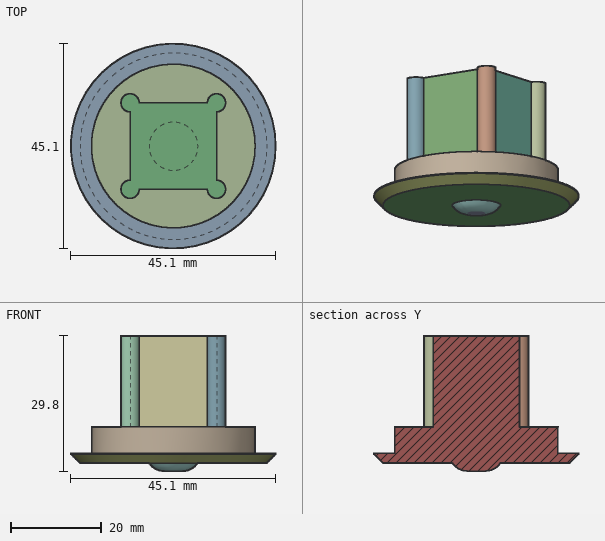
import cadquery as cq
import math

flange_diameter = 45.06
rim_height = 0.2
bevel = 2.0
flange_height = rim_height + bevel

base_diameter = 36.0
base_height = 5.8

post_side = 19.0
post_height = 20.0
pin_diameter = 4.0

overall_height = 29.79
button_height = overall_height - post_height - base_height - flange_height
button_flat_radius = 2.0
button_edge_radius = 4.0


def button_radius_at(rise):
    """Radius of the button at a given rise above its flat bottom."""
    return button_flat_radius + math.sqrt(button_edge_radius**2 - (button_edge_radius - rise) ** 2)


def make_flange():
    disc = cq.Workplane("XY").circle(flange_diameter / 2).extrude(-flange_height)
    return disc.faces("<Z").chamfer(bevel)


def make_base():
    return cq.Workplane("XY").circle(base_diameter / 2).extrude(base_height)


def make_post():
    foot = cq.Workplane("XY").workplane(offset=base_height)
    block = foot.rect(post_side, post_side).extrude(post_height)
    pins = (
        foot.rect(post_side, post_side, forConstruction=True)
        .vertices()
        .circle(pin_diameter / 2)
        .extrude(post_height)
    )
    return block.union(pins)


def make_button():
    top = -flange_height
    bottom = top - button_height
    half_height = button_height / 2
    return (
        cq.Workplane("XZ")
        .moveTo(0, top)
        .lineTo(button_radius_at(button_height), top)
        .threePointArc(
            (button_radius_at(half_height), bottom + half_height),
            (button_flat_radius, bottom),
        )
        .lineTo(0, bottom)
        .close()
        .revolve(360, (0, 0), (0, 1))
    )


result = make_flange().union(make_base()).union(make_post()).union(make_button())